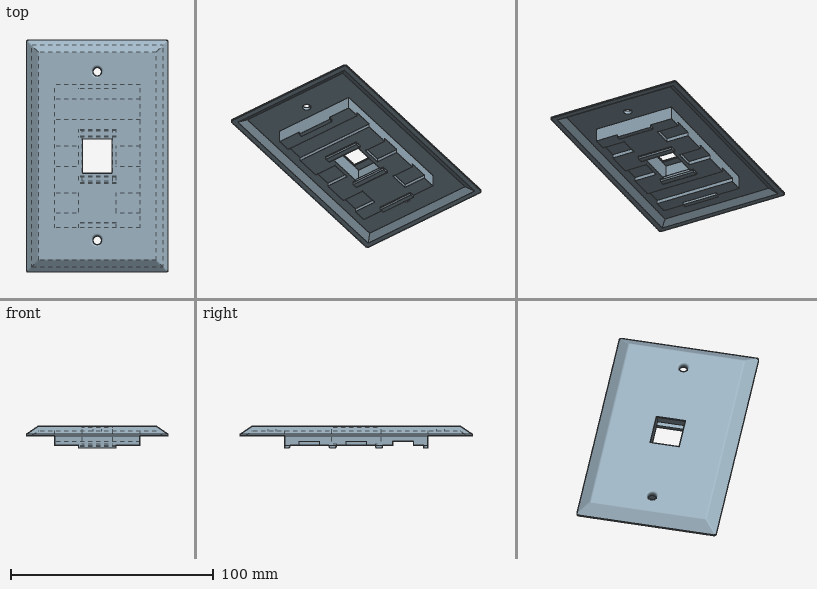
import cadquery as cq

total_height = 10.9
plate_height = 4.8
body_depth = 4.7
foot_depth = total_height - plate_height
slot_depth = 2.7

plate_width = 70.0
plate_length = 114.5
rim_height = 0.8
bevel_inset = 6.0
corner_radius = 1.1
top_edge_radius = 1.4
plate_thickness = 2.5

screw_offset = 41.6
screw_diameter = 4.1
screw_mouth_radius = 1.3

body_width = 42.0
body_length = 70.5
core_width = 18.5
bay_pitch = 23.1
slot_length = 10.1

opening_width = 14.4
opening_length = 16.8
chamber_width = 14.9
chamber_length = 24.5
lip_thickness = 0.8
ledge_depth = 4.0

upper_foot_offset = 9.4
lower_foot_offset = 9.8
foot_length = 3.7
foot_chamfer_height = 0.8
foot_chamfer_run = 0.5
end_foot_length = 2.6
plain_foot_length = 2.1


def box(width, length, z_low, z_high, y=0.0, x=0.0):
    """Box centred at x, y and spanning z_low to z_high."""
    return cq.Workplane("XY", origin=(x, y, z_low)).box(
        width, length, z_high - z_low, centered=(True, True, False)
    )


def frustum(inset_low, inset_high, z_low, z_high):
    """Rectangular frustum whose ends are inset from the plate outline."""
    return (
        cq.Workplane("XY", origin=(0, 0, z_low))
        .rect(plate_width - 2 * inset_low, plate_length - 2 * inset_low)
        .workplane(offset=z_high - z_low)
        .rect(plate_width - 2 * inset_high, plate_length - 2 * inset_high)
        .loft(combine=True)
    )


def make_plate():
    """Bevelled plate with rounded edges and a hollow underside."""
    plate = box(plate_width, plate_length, 0, rim_height)
    plate = plate.union(frustum(0, bevel_inset, rim_height, plate_height))
    plate = plate.edges("not(#Z)").fillet(corner_radius)
    plate = plate.faces(">Z").edges().fillet(top_edge_radius)

    hollow_height = plate_height - plate_thickness
    bevel_run_per_height = bevel_inset / (plate_height - rim_height)
    hollow_rim_inset = bevel_inset - hollow_height * bevel_run_per_height
    return plate.cut(frustum(hollow_rim_inset, bevel_inset, 0, hollow_height))


def foot_bevel(y_edge, inward):
    """Wedge that bevels a lower foot edge; inward is the Y sign toward the foot."""
    return (
        cq.Workplane("YZ", origin=(-core_width / 2, 0, 0))
        .moveTo(y_edge, -foot_depth)
        .lineTo(y_edge + inward * foot_chamfer_run, -foot_depth)
        .lineTo(y_edge, -foot_depth + foot_chamfer_height)
        .close()
        .extrude(core_width)
    )


def make_foot(y_low, y_high, chamfer_low, chamfer_high):
    """Foot bar across the core, with optional chamfers on its lower long edges."""
    foot = box(core_width, y_high - y_low, -foot_depth, -ledge_depth, y=(y_low + y_high) / 2)
    if chamfer_low:
        foot = foot.cut(foot_bevel(y_low, 1))
    if chamfer_high:
        foot = foot.cut(foot_bevel(y_high, -1))
    return foot


body = box(body_width, body_length, -body_depth, plate_height - plate_thickness)

body = body.cut(box(body_width, slot_length, -body_depth, -slot_depth, y=bay_pitch))
recess_width = (body_width - core_width) / 2
recess_x = (body_width + core_width) / 4
for recess_y in (0, -bay_pitch):
    for side in (-1, 1):
        body = body.cut(
            box(recess_width, slot_length, -body_depth, -slot_depth, y=recess_y, x=side * recess_x)
        )

result = make_plate().union(body)

result = result.cut(box(opening_width, opening_length, -body_depth, plate_height))
result = result.cut(box(chamber_width, chamber_length, -body_depth, plate_height - lip_thickness))

body_end = body_length / 2
result = result.union(make_foot(upper_foot_offset, upper_foot_offset + foot_length, True, True))
result = result.union(make_foot(-lower_foot_offset - foot_length, -lower_foot_offset, True, True))
result = result.union(make_foot(-body_end, end_foot_length - body_end, False, True))
result = result.union(make_foot(body_end - plain_foot_length, body_end, False, False))

screw_holes = (
    cq.Workplane("XY")
    .pushPoints([(0, -screw_offset), (0, screw_offset)])
    .circle(screw_diameter / 2)
    .extrude(plate_height)
)
result = result.cut(screw_holes)
result = result.faces(">Z").edges("%CIRCLE").fillet(screw_mouth_radius)